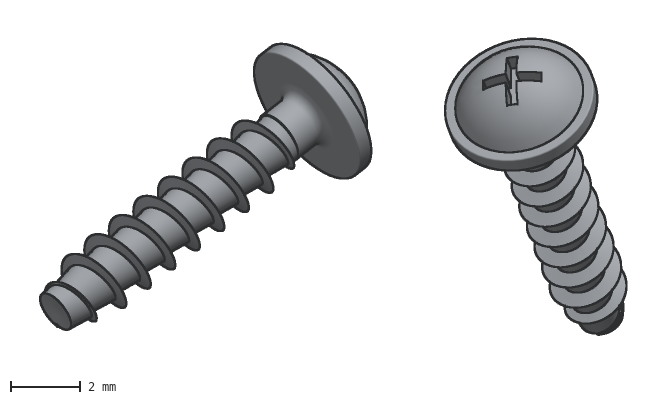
import cadquery as cq
import math

HEAD_HEIGHT = 1.57
TIP_Y = -10.01

FLANGE_RADIUS = 2.2
FLANGE_THICKNESS = 0.5
FLANGE_EDGE_FILLET = 0.05
DOME_BASE_RADIUS = 1.89
DOME_RISE = HEAD_HEIGHT - FLANGE_THICKNESS

RECESS_SPAN = 1.71
RECESS_WIDTH = 0.31
RECESS_DEPTH = 0.69

SHANK_RADIUS = 0.8
SHANK_END_Y = -1.1
NECK_FILLET = 0.35

SPIGOT_RADIUS = 0.58
SPIGOT_LENGTH = 0.23

FIVE_TURNS = 4.89
PITCH = FIVE_TURNS / 5
CREST_RADIUS = 1.11
ROOT_RADIUS = 0.76
FOOT_RADIUS = 0.66
FLANK_SLOPE = math.tan(math.radians(15))
POINTS_PER_TURN = 24

CREST_Y_AT_TOP = -2.65

RUN_IN_CREST_RADIUS = 0.93
RUN_IN_START_Y = -1.27
RUN_IN_END_Y = -1.97
FOOT_RUN_IN_START_Y = -1.43
FOOT_RUN_IN_END_Y = -1.85

RUN_OUT_START_Y = -8.56
ROOT_RUN_OUT_START_Y = -9.02
TIP_CREST_RADIUS = 0.65
TIP_ROOT_RADIUS = 0.64
TIP_FOOT_RADIUS = 0.6

DIMPLE_RADIUS = 0.59
DIMPLE_DEPTH = 0.06

HELIX_START_Y = SHANK_END_Y + PITCH
TURNS = math.ceil((HELIX_START_Y - TIP_Y) / PITCH)


def ramp(y, start_y, end_y, start_radius, end_radius):
    """Radius that changes linearly between two stations and is level outside them."""
    share = (start_y - y) / (start_y - end_y)
    return start_radius + min(1.0, max(0.0, share)) * (end_radius - start_radius)


def crest_radius(y):
    run_in = ramp(y, RUN_IN_START_Y, RUN_IN_END_Y, RUN_IN_CREST_RADIUS, CREST_RADIUS)
    run_out = ramp(y, RUN_OUT_START_Y, TIP_Y, CREST_RADIUS, TIP_CREST_RADIUS)
    return min(run_in, run_out)


def root_radius(y):
    run_in = ramp(y, SHANK_END_Y, RUN_IN_START_Y, SHANK_RADIUS, ROOT_RADIUS)
    run_out = ramp(y, ROOT_RUN_OUT_START_Y, TIP_Y, ROOT_RADIUS, TIP_ROOT_RADIUS)
    return run_in if y > ROOT_RUN_OUT_START_Y else run_out


def foot_radius(y):
    run_in = ramp(y, FOOT_RUN_IN_START_Y, FOOT_RUN_IN_END_Y, SHANK_RADIUS, FOOT_RADIUS)
    run_out = ramp(y, RUN_OUT_START_Y, TIP_Y, FOOT_RADIUS, TIP_FOOT_RADIUS)
    return run_in if y > RUN_OUT_START_Y else run_out


def helix_turn(turn, radius_at, side):
    """One turn of a thread corner; side is 1 ahead of the crest, towards the tip, and -1 behind it."""
    points = []
    for step in range(POINTS_PER_TURN + 1):
        y = HELIX_START_Y - PITCH * (turn + step / POINTS_PER_TURN)
        angle = math.tau * (CREST_Y_AT_TOP - y) / PITCH
        radius = radius_at(y)
        ahead = side * FLANK_SLOPE * (crest_radius(y) - radius)
        points.append(cq.Vector(-radius * math.sin(angle), y - ahead, radius * math.cos(angle)))
    return cq.Edge.makeSpline(points)


def helix_end_faces(foot, profile):
    """Close one end of the helix: a helicoid from the foot to the axis and a flat radial step."""
    axis_start = cq.Vector(0, foot.startPoint().y, 0)
    axis_end = cq.Vector(0, foot.endPoint().y, 0)
    helicoid = cq.Face.makeRuledSurface(foot, cq.Edge.makeLine(axis_start, axis_end))
    outline = [axis_start, foot.startPoint(), *profile, foot.endPoint(), axis_end]
    step = cq.Face.makeFromWires(cq.Wire.makePolygon(outline, close=True))
    return [helicoid, step]


def make_body():
    """Turned body: domed washer head, neck fillet, shank and spigot."""
    sphere_radius = (DOME_BASE_RADIUS**2 + DOME_RISE**2) / (2 * DOME_RISE)
    half_angle = math.asin(DOME_BASE_RADIUS / sphere_radius) / 2
    dome_middle = (
        sphere_radius * math.sin(half_angle),
        HEAD_HEIGHT - sphere_radius * (1 - math.cos(half_angle)),
    )
    neck_middle = NECK_FILLET * (1 - math.sqrt(0.5))
    rim_edge = FLANGE_RADIUS - FLANGE_EDGE_FILLET
    rim_bulge = FLANGE_EDGE_FILLET * (1 - math.sqrt(0.5))
    return (
        cq.Workplane("XY")
        .moveTo(0, HEAD_HEIGHT)
        .threePointArc(dome_middle, (DOME_BASE_RADIUS, FLANGE_THICKNESS))
        .lineTo(rim_edge, FLANGE_THICKNESS)
        .threePointArc(
            (FLANGE_RADIUS - rim_bulge, FLANGE_THICKNESS - rim_bulge),
            (FLANGE_RADIUS, FLANGE_THICKNESS - FLANGE_EDGE_FILLET),
        )
        .lineTo(FLANGE_RADIUS, FLANGE_EDGE_FILLET)
        .threePointArc((FLANGE_RADIUS - rim_bulge, rim_bulge), (rim_edge, 0))
        .lineTo(SHANK_RADIUS + NECK_FILLET, 0)
        .threePointArc(
            (SHANK_RADIUS + neck_middle, -neck_middle),
            (SHANK_RADIUS, -NECK_FILLET),
        )
        .lineTo(SHANK_RADIUS, SHANK_END_Y)
        .lineTo(SPIGOT_RADIUS, SHANK_END_Y)
        .lineTo(SPIGOT_RADIUS, SHANK_END_Y - SPIGOT_LENGTH)
        .lineTo(0, SHANK_END_Y - SPIGOT_LENGTH)
        .close()
        .revolve(360, (0, 0, 0), (0, 1, 0))
    )


def make_thread():
    """Core with its helical ridge, trimmed flat at the shank end and at the tip."""
    feet = [helix_turn(turn, foot_radius, -1) for turn in range(TURNS + 1)]
    crests = [helix_turn(turn, crest_radius, 1) for turn in range(TURNS)]
    roots = [helix_turn(turn, root_radius, 1) for turn in range(TURNS)]
    faces = helix_end_faces(feet[0], [crests[0].startPoint(), roots[0].startPoint()])
    faces += helix_end_faces(feet[-1], [crests[-1].endPoint(), roots[-1].endPoint()])
    for foot, crest, root, next_foot in zip(feet, crests, roots, feet[1:]):
        faces.append(cq.Face.makeRuledSurface(foot, crest))
        faces.append(cq.Face.makeRuledSurface(crest, root))
        faces.append(cq.Face.makeRuledSurface(root, next_foot))
    helix = cq.Solid.makeSolid(cq.Shell.makeShell(faces))
    threaded_zone = (
        cq.Workplane("XZ", origin=(0, SHANK_END_Y, 0))
        .circle(FLANGE_RADIUS)
        .extrude(SHANK_END_Y - TIP_Y)
    )
    return threaded_zone.intersect(cq.Workplane(helix))


def make_recess():
    """Cross recess sunk into the dome, one arm pair along X and one along Z."""
    recess_y = HEAD_HEIGHT - RECESS_DEPTH / 2
    arm = cq.Workplane("XY").box(RECESS_SPAN, RECESS_DEPTH, RECESS_WIDTH)
    cross = arm.union(arm.rotate((0, 0, 0), (0, 1, 0), 90))
    return cross.translate((0, recess_y, 0))


def make_dimple():
    """Cone that hollows the end face of the tip."""
    return (
        cq.Workplane("XY")
        .moveTo(0, TIP_Y)
        .lineTo(DIMPLE_RADIUS, TIP_Y)
        .lineTo(0, TIP_Y + DIMPLE_DEPTH)
        .close()
        .revolve(360, (0, 0, 0), (0, 1, 0))
    )


result = make_body().union(make_thread()).cut(make_recess()).cut(make_dimple())